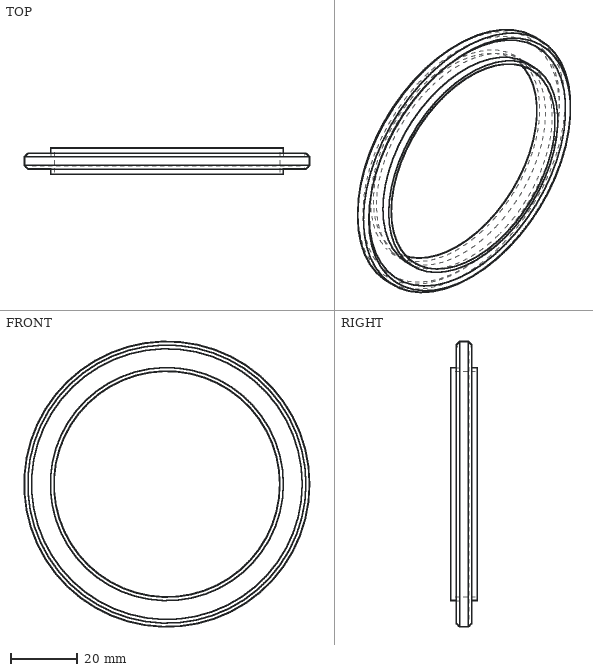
import cadquery as cq

outer_diameter = 86.0
bore_diameter = 67.9
hub_diameter = 70.2
hub_width = 8.0
rim_width = 4.8
rim_chamfer = 1.1
recess_floor_diameter = 81.5
recess_depth = 0.95

outer_radius = outer_diameter / 2
bore_radius = bore_diameter / 2
hub_radius = hub_diameter / 2
rim_half = rim_width / 2
hub_half = hub_width / 2
web_half = rim_half - recess_depth

half_profile = [
    (bore_radius, hub_half),
    (hub_radius, hub_half),
    (hub_radius, web_half),
    (recess_floor_diameter / 2, web_half),
    (outer_radius - rim_chamfer, rim_half),
    (outer_radius, rim_half - rim_chamfer),
]
mirrored_profile = [(radius, -offset) for radius, offset in reversed(half_profile)]

result = (
    cq.Workplane("XY")
    .polyline(half_profile + mirrored_profile)
    .close()
    .revolve(360, (0, 0, 0), (0, 1, 0))
)